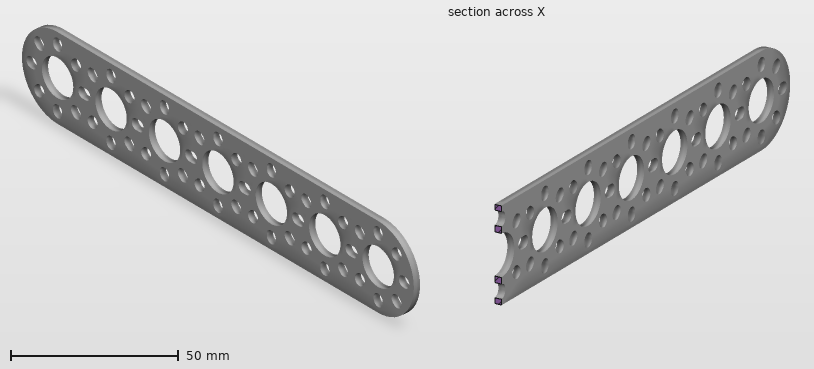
import cadquery as cq
import math

length = 176.0
width = 32.0
thickness = 2.5
bore_count = 7
bore_diameter = 14.0
slot_width = 4.0
grid_spacing = 16.0
slots_per_bore = 8

bore_pitch = (length - width) / (bore_count - 1)

inner_circle_radius = grid_spacing / math.sqrt(2)
outer_circle_radius = bore_pitch / 2
slot_circle_radius = (inner_circle_radius + outer_circle_radius) / 2
slot_length = outer_circle_radius - inner_circle_radius + slot_width

bore_positions = [((i - (bore_count - 1) / 2) * bore_pitch, 0) for i in range(bore_count)]


def make_plate():
    """Flat bar with full-round ends, lying in the XZ plane and centred on the origin."""
    return cq.Workplane("XZ").slot2D(length, width).extrude(thickness / 2, both=True)


def make_bores():
    """Row of large round through holes."""
    return (
        cq.Workplane("XZ")
        .pushPoints(bore_positions)
        .circle(bore_diameter / 2)
        .extrude(thickness, both=True)
    )


def make_radial_slots(angle):
    """One short slot beside every bore, pointing away from it at the given angle."""
    offset_x = slot_circle_radius * math.cos(math.radians(angle))
    offset_z = slot_circle_radius * math.sin(math.radians(angle))
    centres = [(x + offset_x, z + offset_z) for x, z in bore_positions]
    return (
        cq.Workplane("XZ")
        .pushPoints(centres)
        .slot2D(slot_length, slot_width, angle)
        .extrude(thickness, both=True)
    )


result = make_plate().cut(make_bores())

for index in range(slots_per_bore):
    result = result.cut(make_radial_slots(index * 360 / slots_per_bore))